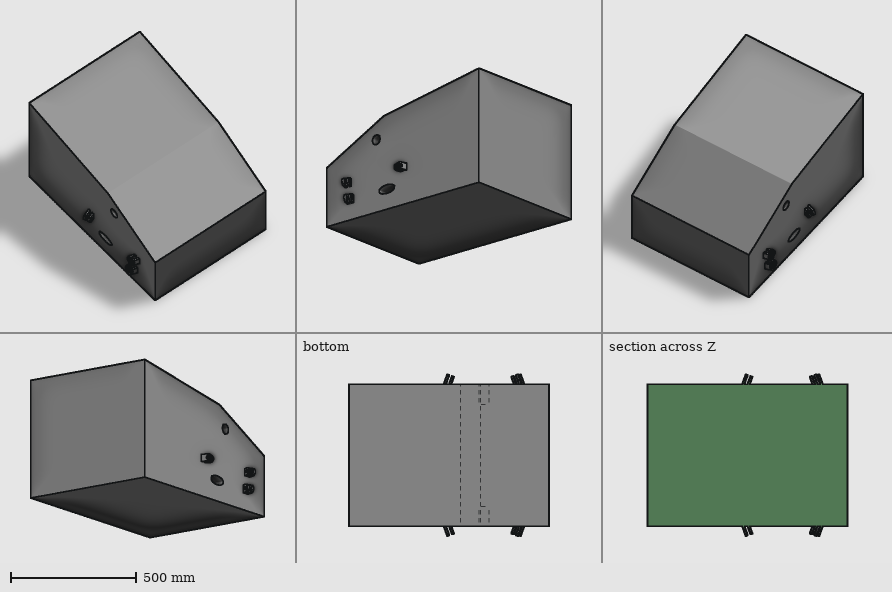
import cadquery as cq
import math

length = 800.0
width = 568.0
rear_height = 485.0
break_x = 500.0
break_height = 400.0
front_height = 250.0

passage_x = 484.0
passage_z = 86.0
passage_length = 80.0
passage_height = 37.0

socket_x = 539.0
socket_z = 308.0
socket_diameter = 40.0
socket_depth = 80.0

overall_width = 646.0
lug_reach = (overall_width - width) / 2
lug_lean = 20.0
plates_per_lug = 2
plate_thickness = 10.0
plate_pitch = 20.0
lug_hole_diameter = 13.0
lug_root_depth = 16.0
upper_lug_z = 157.0
upper_lug_height = 29.0
lower_lug_z = 86.0
lower_lug_height = 31.0

lugs = [
    (378.0, 1, upper_lug_height, upper_lug_z),
    (701.0, -1, upper_lug_height, upper_lug_z),
    (690.0, -1, lower_lug_height, lower_lug_z),
]


def make_body():
    outline = [
        (0, 0),
        (length, 0),
        (length, front_height),
        (break_x, break_height),
        (0, rear_height),
    ]
    return cq.Workplane("XZ").polyline(outline).close().extrude(width / 2, both=True)


def make_passage():
    return (
        cq.Workplane("XZ")
        .center(passage_x, passage_z)
        .ellipse(passage_length / 2, passage_height / 2)
        .extrude(width, both=True)
    )


def make_socket():
    """Socket in the -Y wall."""
    return (
        cq.Workplane("XZ", origin=(socket_x, -width / 2, socket_z))
        .circle(socket_diameter / 2)
        .extrude(-socket_depth)
    )


def make_lug(root_x, lean_direction, height, center_z):
    """Two parallel round-ended plates on the -Y wall, with a cross hole in each."""
    lean = math.radians(lug_lean)
    radius = height / 2
    tip = lug_reach / math.cos(lean)
    eye = tip - radius
    lug = cq.Workplane("XY")
    for index in range(plates_per_lug):
        start = index * plate_pitch
        plate = (
            cq.Workplane("YZ", origin=(start, 0, 0))
            .moveTo(lug_root_depth, -radius)
            .lineTo(-eye, -radius)
            .threePointArc((-tip, 0), (-eye, radius))
            .lineTo(lug_root_depth, radius)
            .close()
            .extrude(plate_thickness)
        )
        hole = (
            cq.Workplane("YZ", origin=(start, -eye, 0))
            .circle(lug_hole_diameter / 2)
            .extrude(plate_thickness)
        )
        lug = lug.add(plate.cut(hole))
    lug = lug.combine().rotate((0, 0, 0), (0, 0, 1), lug_lean)
    if lean_direction < 0:
        lug = lug.mirror("YZ")
    return lug.translate((root_x, -width / 2, center_z))


result = make_body().cut(make_passage())

socket = make_socket()
result = result.cut(socket).cut(socket.mirror("XZ"))

for lug_data in lugs:
    lug = make_lug(*lug_data)
    result = result.union(lug).union(lug.mirror("XZ"))